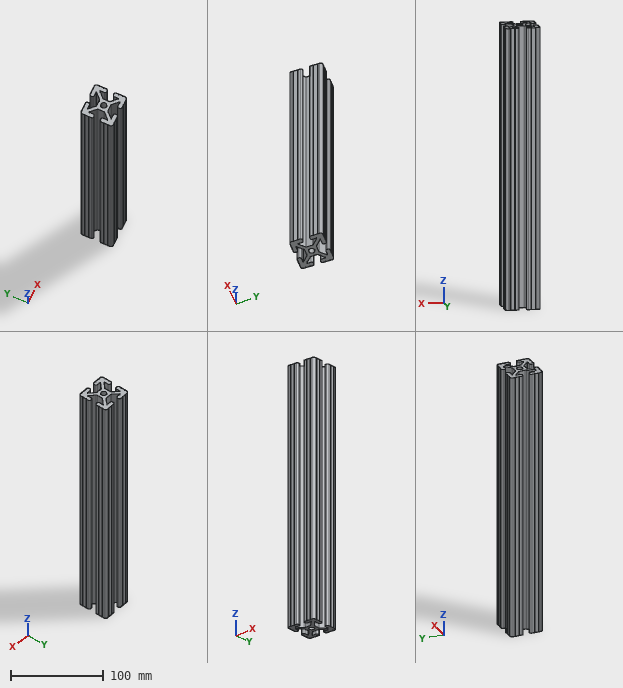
import cadquery as cq

width = 38.3
length = 311.0
corner_radius = 2.8

slot_opening = 8.0
lip_thickness = 5.0
lip_radius = 2.0
core_width = 13.7
pocket_width = 21.8
floor_radius = 1.5
web_offset = 2.8

bore_diameter = 6.5

groove_positions = (9.0, 14.0)
groove_width = 0.5
groove_depth = 0.47

half_width = width / 2
half_opening = slot_opening / 2
half_core = core_width / 2
lip_inner = half_width - lip_thickness
SIDE_ANGLES = (0, 90, 180, 270)


def square_bar():
    """Plain bar with rounded long edges, standing on Z = 0."""
    bar = cq.Workplane("XY").rect(width, width).extrude(length)
    return bar.edges("|Z").fillet(corner_radius)


def slot_cutter():
    """Slot in the +X side: a narrow mouth opening into a tapered pocket between the webs."""
    pocket_half = pocket_width / 2
    floor_half = half_core - web_offset
    upper_half = [
        (half_core, floor_half),
        (pocket_half + web_offset, pocket_half),
        (lip_inner, pocket_half),
        (lip_inner, half_opening),
        (half_width, half_opening),
    ]
    lower_half = [(x, -y) for x, y in reversed(upper_half)]
    cutter = cq.Workplane("XY").polyline(upper_half + lower_half).close().extrude(length)
    return cutter.faces("<X").edges("|Z").fillet(floor_radius)


def round_lips(body):
    """Round both edges at the tip of every lip."""
    reach = lip_radius / 2
    for angle in SIDE_ANGLES:
        turned = body.rotate((0, 0, 0), (0, 0, 1), angle)
        lip_zone = cq.selectors.BoxSelector(
            (lip_inner - reach, -half_opening - reach, 0),
            (half_width + reach, half_opening + reach, length),
        )
        turned = turned.edges("|Z").edges(lip_zone).fillet(lip_radius)
        body = turned.rotate((0, 0, 0), (0, 0, 1), -angle)
    return body


def groove_cutter(position):
    """V groove in the +X face at the given Y."""
    half_groove = groove_width / 2
    outline = [
        (half_width, position - half_groove),
        (half_width - groove_depth, position),
        (half_width, position + half_groove),
    ]
    return cq.Workplane("XY").polyline(outline).close().extrude(length)


def cut_on_all_sides(body, cutter):
    for angle in SIDE_ANGLES:
        body = body.cut(cutter.rotate((0, 0, 0), (0, 0, 1), angle))
    return body


profile = cut_on_all_sides(square_bar(), slot_cutter())
profile = round_lips(profile)
for distance in groove_positions:
    for side in (1, -1):
        profile = cut_on_all_sides(profile, groove_cutter(side * distance))

bore = cq.Workplane("XY").circle(bore_diameter / 2).extrude(length)
result = profile.cut(bore)